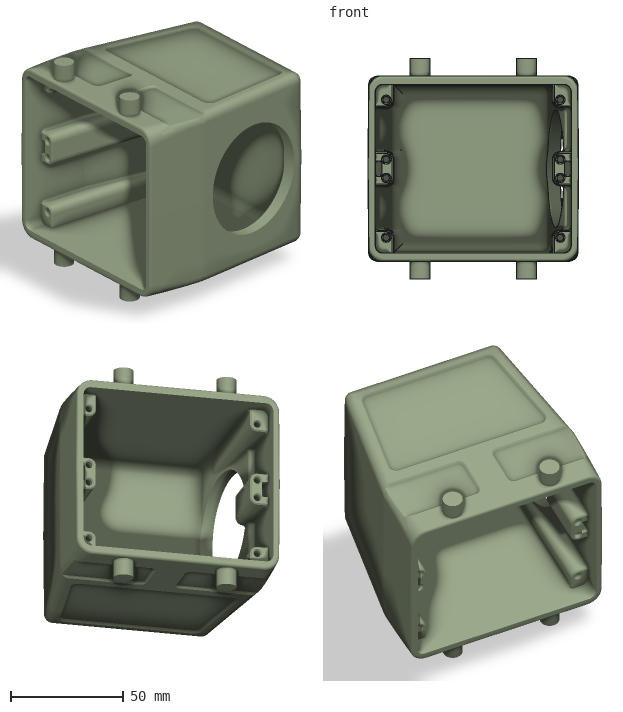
import cadquery as cq
import math


length = 94.2
half_width = 47.0
half_height = 41.4
side_slope = 8.0
bend_y = 30.1
bend_radius = 20.7
draft = 0.5
edge_radius = 4.0
mouth_corner_radius = 7.5
mouth_rounding = 1.2
straight_length = 28.6
corner_growth = 1.6
corner_steps = 4

mouth_half_width = 43.7
mouth_half_height = 37.6
mouth_inner_radius = 3.4
floor_y = 88.65
side_wall = 3.2
cable_wall = 5.8
ledge_y = 31.9
ledge_radius = 1.2
floor_radius = 4.0

boss_front_y = 8.9
boss_edge_chamfer = 0.6
boss_root_radius = 1.2
screw_x = 38.8
boss_radius = 3.25
boss_inner_x = screw_x - boss_radius
middle_screw_z = 4.1
corner_screw_z = 30.7
middle_boss_half_height = middle_screw_z + boss_radius
corner_boss_inner_z = corner_screw_z - boss_radius
screw_diameter = 3.0
screw_mouth_diameter = 4.1
screw_depth = 11.8
slot_depth = 9.85
slot_inner_x = 40.8
slot_half_height = 3.5
slot_floor_radius = 0.8

cable_diameter = 52.5
cable_y = 61.1
cable_inner_reach = 5.9
cable_outer_reach = 11.8

pin_diameter = 9.0
pin_x = 23.7
pin_y = 6.4
pin_end_z = 49.25

recess_depth = 1.0
recess_wall_slope = 50.0
label_front_y = 39.1
label_back_y = 87.8
label_front_half_width = 39.2
label_radius = 3.9
window_front_y = 11.6
window_back_y = 33.6
window_inner_x = 6.7
window_radius = 3.25

overrun = 4.9

tan_draft = math.tan(math.radians(draft))
tan_slope = math.tan(math.radians(side_slope))
cos_slope = math.cos(math.radians(side_slope))
boss_growth = (length - boss_front_y) * tan_draft


def slanted_x(y, inset=0.0):
    """X of the slanted side, moved inward by a wall thickness."""
    return half_width - (y - bend_y) * tan_slope - inset / cos_slope


def mirrored(shape, plane="XY"):
    return shape.union(shape.mirror(plane))


def box(x_range, y_range, z_range):
    """Axis-aligned block between pairs of limits."""
    sizes = [high - low for low, high in (x_range, y_range, z_range)]
    corner = (x_range[0], y_range[0], z_range[0])
    return cq.Workplane("XY").box(*sizes, centered=False).translate(corner)


def zone(x_range, y_range, z_range):
    """Selector for edges whose middles lie between pairs of limits."""
    low, high = zip(x_range, y_range, z_range)
    return cq.selectors.BoxSelector(low, high)


def rear_shell():
    """Narrowing rear of the hood, drafted away from the parting plane."""
    back_x = slanted_x(length)
    outline = [
        (-half_width, -overrun), (half_width, -overrun), (half_width, bend_y),
        (back_x, length), (-back_x, length), (-half_width, bend_y),
    ]
    upper = cq.Workplane("XY").polyline(outline).close().extrude(half_height, taper=draft)
    bend_edges = zone(
        (-length, length), (bend_y - 1, bend_y + 1), (1, half_height - 1)
    )
    upper = upper.edges(bend_edges).fillet(bend_radius)
    back_corners = zone((-length, length), (length - 1, length + 1), (1, half_height - 1))
    top_edges = zone((-length, length), (0, length + 1), (half_height - 1, half_height + 1))
    upper = upper.edges(back_corners + top_edges).fillet(edge_radius)
    kept = box((-length, length), (straight_length, 2 * length), (0, length))
    return mirrored(upper.intersect(kept))


def front_section(y):
    """Outline across the hood, its corners growing rounder toward the mouth."""
    top_half_width = half_width - half_height * tan_draft
    growth = (1 - y / straight_length) ** corner_growth
    corner_radius = edge_radius + (mouth_corner_radius - edge_radius) * growth
    outline = [
        (-half_width, 0), (-top_half_width, -half_height), (top_half_width, -half_height),
        (half_width, 0), (top_half_width, half_height), (-top_half_width, half_height),
        (-half_width, 0),
    ]
    section = cq.Sketch().polygon(outline).vertices("<Y or >Y").fillet(corner_radius)
    return section.moved(cq.Location(cq.Plane((0, y, 0), (1, 0, 0), (0, -1, 0))))


def front_shell():
    """Straight front of the hood with widening corner rounds."""
    step_length = straight_length / corner_steps
    sections = [front_section(step * step_length) for step in range(corner_steps, -1, -1)]
    block = cq.Workplane("XY").placeSketch(*sections).loft(ruled=True)
    return block.faces("<Y").edges().fillet(mouth_rounding)


def boss(side, z_low, z_high):
    """Screw boss along one side wall, drafted so that it is slimmest at its front."""
    inner_x = boss_inner_x - boss_growth
    width = half_width + overrun - inner_x
    height = z_high - z_low + 2 * boss_growth
    inner = "<X" if side > 0 else ">X"
    section = (
        cq.Sketch().rect(width, height).vertices(inner).fillet(boss_radius + boss_growth)
        .moved(cq.Location((side * (inner_x + width / 2), (z_low + z_high) / 2, 0)))
    )
    body = (
        cq.Workplane("XZ", origin=(0, length, 0)).placeSketch(section)
        .extrude(length - boss_front_y, taper=draft)
    )
    return body.faces("<Y").edges().chamfer(boss_edge_chamfer)


def bosses():
    """Two corner bosses and one middle boss on each side wall."""
    group = cq.Workplane("XY")
    overlap_z = half_height + overrun
    for side in (-1, 1):
        group = group.add(boss(side, -middle_boss_half_height, middle_boss_half_height))
        group = group.add(boss(side, corner_boss_inner_z, overlap_z))
        group = group.add(boss(side, -overlap_z, -corner_boss_inner_z))
    return group.combine()


def boss_root_edges():
    """Selector for the edges where the boss flanks meet the side walls."""
    flank_x = (screw_x + 0.3, half_width)
    flank_y = (boss_front_y + 1, floor_y - 1)
    flank_heights = (
        (middle_boss_half_height, middle_boss_half_height + boss_growth),
        (corner_boss_inner_z - boss_growth, corner_boss_inner_z),
    )
    selector = None
    for low_z, high_z in flank_heights:
        for x_range in (flank_x, (-flank_x[1], -flank_x[0])):
            for z_range in ((low_z, high_z), (-high_z, -low_z)):
                spot = zone(x_range, flank_y, z_range)
                selector = selector + spot if selector else spot
    return selector


def cavity():
    """Inside of the hood with the bosses left standing."""
    wall_x = mouth_half_width - ledge_y * tan_draft
    inner_bend_y = bend_y + (half_width - side_wall / cos_slope - wall_x) / tan_slope
    floor_half_height = mouth_half_height - floor_y * tan_draft
    plan = [
        (-mouth_half_width, 0), (mouth_half_width, 0), (wall_x, ledge_y),
        (slanted_x(ledge_y, cable_wall), ledge_y), (slanted_x(floor_y, cable_wall), floor_y),
        (-slanted_x(floor_y, side_wall), floor_y), (-wall_x, inner_bend_y),
    ]
    profile = [
        (0, -mouth_half_height), (0, mouth_half_height),
        (floor_y, floor_half_height), (floor_y, -floor_half_height),
    ]
    space = cq.Workplane("XY").polyline(plan).close().extrude(half_height, both=True)
    wedge = cq.Workplane("YZ").polyline(profile).close().extrude(length, both=True)
    space = space.intersect(wedge)
    ledge_inner_x = slanted_x(ledge_y, cable_wall)
    ledge_edges = zone(
        (ledge_inner_x - 1, wall_x + 1), (ledge_y - 1, ledge_y + 1), (-1, 1)
    )
    space = space.edges(ledge_edges).fillet(ledge_radius)
    mouth_corners = zone((-length, length), (1, ledge_y - 4.9), (-length, length))
    space = space.edges(mouth_corners).edges("not(|X or |Z)").fillet(mouth_inner_radius)
    space = space.cut(bosses())
    space = space.faces(">Y").edges().fillet(floor_radius)
    return space.edges(boss_root_edges()).fillet(boss_root_radius)


def cable_hole():
    """Round cable entry square to the slanted wall, ending the middle boss."""
    axis = cq.Vector(cos_slope, math.sin(math.radians(side_slope)), 0)
    start = cq.Vector(slanted_x(cable_y, cable_wall), cable_y, 0) - axis * cable_inner_reach
    return cq.Workplane(cq.Solid.makeCylinder(
        cable_diameter / 2, cable_inner_reach + cable_outer_reach, start, axis))


def screw_holes():
    """Blind countersunk screw holes in the boss fronts."""
    heights = (-corner_screw_z, -middle_screw_z, middle_screw_z, corner_screw_z)
    places = [(side * screw_x, z) for side in (-1, 1) for z in heights]
    plane = cq.Workplane("XZ", origin=(0, boss_front_y, 0))
    holes = plane.pushPoints(places).circle(screw_diameter / 2).extrude(-screw_depth)
    sink_depth = (screw_mouth_diameter - screw_diameter) / 2
    sinks = plane.pushPoints(places).circle(screw_mouth_diameter / 2).extrude(-sink_depth, taper=45)
    return holes.union(sinks)


def middle_slots():
    """Pocket between each middle boss and its side wall."""
    wall_x = mouth_half_width - boss_front_y * tan_draft
    slot = box(
        (slot_inner_x, wall_x), (boss_front_y, boss_front_y + slot_depth),
        (-slot_half_height, slot_half_height),
    )
    slot = slot.faces(">Y").edges().fillet(slot_floor_radius)
    return mirrored(slot, "YZ")


def recess(outline, corner_radius):
    """Sloped-wall recess cut into the top face."""
    section = cq.Sketch().polygon(outline + outline[:1]).vertices().fillet(corner_radius)
    return (
        cq.Workplane("XY", origin=(0, 0, half_height)).placeSketch(section)
        .extrude(-recess_depth, taper=recess_wall_slope)
    )


def label_recesses():
    """One large label panel and two windows running out over the sides."""
    back_half_width = label_front_half_width - (label_back_y - label_front_y) * tan_slope
    label = [
        (-label_front_half_width, label_front_y), (label_front_half_width, label_front_y),
        (back_half_width, label_back_y), (-back_half_width, label_back_y),
    ]
    beyond_side = half_width + overrun + window_radius
    window = [
        (window_inner_x, window_front_y), (beyond_side, window_front_y),
        (beyond_side, window_back_y), (window_inner_x, window_back_y),
    ]
    windows = mirrored(recess(window, window_radius), "YZ")
    return mirrored(recess(label, label_radius).union(windows))


def pins():
    """Locking pins standing out of the top and bottom walls."""
    root_z = (mouth_half_height + half_height) / 2
    upper = (
        cq.Workplane("XY", origin=(0, 0, root_z)).pushPoints([(-pin_x, pin_y), (pin_x, pin_y)])
        .circle(pin_diameter / 2).extrude(pin_end_z - root_z)
    )
    return mirrored(upper)


shell = rear_shell().union(front_shell())
hood = shell.cut(cavity()).cut(cable_hole()).cut(screw_holes()).cut(middle_slots())
result = hood.cut(label_recesses()).union(pins())